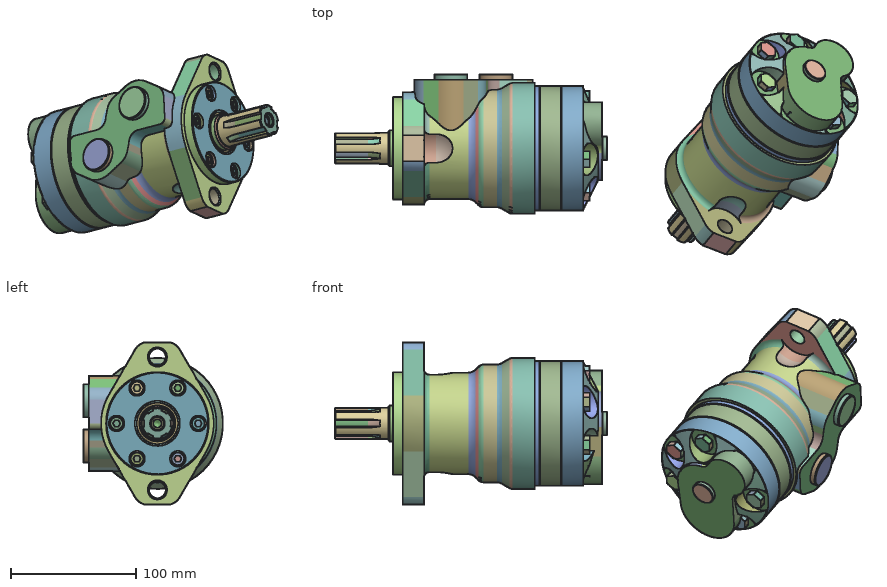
import cadquery as cq
import math


shaft_length = 51.0
pilot_front = 46.2
flange_front = 54.2
flange_back = 71.5
first_step_start = 106.7
second_step_start = 129.5
body_end = 160.0
plate_joint = 164.0
gear_ring_joint = 181.1
cover_face = 198.5
cone_end = 210.5
boss_end = 213.8
overall_length = 217.7

pilot_radius = 41.1
neck_radius = 40.7
shoulder_radius = 47.2
body_radius = 52.5
cover_radius = 100.0 / 2
cone_edge_step = 0.7
pilot_chamfer = 0.7
joint_groove_width = 0.7
joint_groove_depth = 0.5

first_step_shape = (45, 8.3, 5.5)
second_step_shape = (30, 7.8, 4.8)

flange_half_height = 64.9
flange_radius = 45.0
flange_side_angle = 30
flange_side_top = 59.0
flange_tip_half_width = 10.5
flange_corner_radius = 13.0
mount_hole_offset = 53.1
mount_hole_diameter = 13.3
mount_hole_rim_diameter = 15.5
scallop_radius = 18.0
scallop_straight_end = 81.0
neck_fillet = flange_radius - neck_radius

screw_count = 6
screw_circle_radius = 32.7
screw_recess_diameter = 12.6
screw_recess_depth = 2.6
screw_head_diameter = 10.0
screw_head_height = 0.9
screw_socket_corner_diameter = 5.9
screw_socket_depth = 2.2

shaft_radius = 25.3 / 2
shaft_chamfer = 0.7
spline_count = 6
spline_root_radius = 10.7
spline_root_width = 4.8
spline_clearance = 2.2
spline_flank_angle = 30
spline_straight_end = 26.5
spline_cutter_radius = 24.0
runout_angle = 40
centre_hole_diameter = 12.0
centre_hole_rim = 0.9
centre_hole_depth = 3.3
centre_drill_diameter = 6.7
centre_drill_depth = 6.5
drill_tip_angle = 118

seal_radius = 36.1 / 2
seal_rim_inner_radius = 16.5
seal_rim_sink = 0.7
seal_web_sink = 1.7
seal_lip_radius = 29.0 / 2
seal_lip_front = 42.7
seal_lip_chamfer = 1.3

block_centre_x = 110.8
block_base_y = 13.0
block_top_y = 54.9
block_half_length = 47.5
port_offset = 18.0
lobe_radius = 20.0
lobe_slope = 30
lobe_side_reach = 21.8
lobe_wall_reach = 28.3
lobe_wall_top = 19.2
lobe_wall_lean = 1.3
lobe_corner_radius = 13.7
notch_edge = 4.5
notch_fillet = 9.1
port_plug_radius = 26.5 / 2
port_plug_top = 59.5
plug_chamfer = 0.7

cover_bolt_count = 7
cover_bolt_circle_radius = 39.5
bolt_head_across_flats = 13.0
bolt_head_height = 5.2
bolt_pocket_diameter = 26.0
boss_radius = 25.7
upper_lobe = (19.2, 24.5, 17.9)
lower_lobe = (2.0, -23.7, 25.0)
boss_fillet = 7.6
end_plug_radius = 19.0 / 2
end_plug_chamfer = 0.5


def cylinder(x_start, x_end, radius, y=0.0, z=0.0):
    """Round bar along X."""
    return cq.Workplane("YZ", origin=(x_start, y, z)).circle(radius).extrude(x_end - x_start)


def circle_places(count, radius):
    """Evenly spaced (y, z) places around the shaft axis, the first on +Y."""
    angles = [2 * math.pi / count * i for i in range(count)]
    return [(radius * math.cos(a), radius * math.sin(a)) for a in angles]


def add_step(outline, x_start, radius_start, radius_end, angle, hollow_radius, crown_radius):
    """Continue a turned outline up a slope with a tangent hollow below and a tangent crown above."""
    tilt = math.radians(angle)
    half = tilt / 2
    hollow_x = x_start + hollow_radius * math.sin(tilt)
    hollow_r = radius_start + hollow_radius * (1 - math.cos(tilt))
    crown_r = radius_end - crown_radius * (1 - math.cos(tilt))
    crown_x = hollow_x + (crown_r - hollow_r) / math.tan(tilt)
    crown_end_x = crown_x + crown_radius * math.sin(tilt)
    hollow_middle = (
        x_start + hollow_radius * math.sin(half),
        radius_start + hollow_radius * (1 - math.cos(half)),
    )
    crown_middle = (
        crown_end_x - crown_radius * math.sin(half),
        radius_end - crown_radius * (1 - math.cos(half)),
    )
    return (
        outline.lineTo(x_start, radius_start)
        .threePointArc(hollow_middle, (hollow_x, hollow_r))
        .lineTo(crown_x, crown_r)
        .threePointArc(crown_middle, (crown_end_x, radius_end))
    )


def turned_housing():
    """Pilot, neck, shoulder, body and cover as one turned shape."""
    fillet_middle = neck_fillet * (1 - math.sqrt(0.5))
    outline = (
        cq.Workplane("XY")
        .moveTo(pilot_front, 0)
        .lineTo(pilot_front, pilot_radius - pilot_chamfer)
        .lineTo(pilot_front + pilot_chamfer, pilot_radius)
        .lineTo(flange_front, pilot_radius)
        .lineTo(flange_back, neck_radius + neck_fillet)
        .threePointArc(
            (flange_back + fillet_middle, neck_radius + fillet_middle),
            (flange_back + neck_fillet, neck_radius),
        )
    )
    outline = add_step(outline, first_step_start, neck_radius, shoulder_radius, *first_step_shape)
    outline = add_step(outline, second_step_start, shoulder_radius, body_radius, *second_step_shape)
    cone_start_radius = cover_radius - cone_edge_step
    outline = (
        outline.lineTo(body_end, body_radius)
        .lineTo(body_end, cover_radius)
        .lineTo(cover_face, cover_radius)
        .lineTo(cover_face, cone_start_radius)
        .lineTo(cone_end, boss_radius)
        .lineTo(cone_end, 0)
        .close()
    )
    return outline.revolve(360, (0, 0, 0), (1, 0, 0))


def joint_groove(x_middle):
    x_start = x_middle - joint_groove_width / 2
    x_end = x_middle + joint_groove_width / 2
    ring = cylinder(x_start, x_end, body_radius)
    return ring.cut(cylinder(x_start, x_end, cover_radius - joint_groove_depth))


def flange():
    """Two-hole flange: round sides, straight tapering sides and rounded corners."""
    tilt = math.radians(flange_side_angle)
    round_y = flange_radius * math.cos(tilt)
    round_z = flange_radius * math.sin(tilt)
    side_y = (flange_radius - flange_side_top * math.sin(tilt)) / math.cos(tilt)
    outline = cq.Workplane("YZ", origin=(flange_front, 0, 0)).moveTo(-round_y, round_z)
    for side in (1, -1):
        outline = (
            outline.lineTo(-side * side_y, side * flange_side_top)
            .radiusArc((-side * flange_tip_half_width, side * flange_half_height), flange_corner_radius)
            .lineTo(side * flange_tip_half_width, side * flange_half_height)
            .radiusArc((side * side_y, side * flange_side_top), flange_corner_radius)
            .lineTo(side * round_y, side * round_z)
            .radiusArc((side * round_y, -side * round_z), flange_radius)
        )
    return outline.close().extrude(flange_back - flange_front)


def mount_hole(z):
    """Through hole with a chamfered rim on the front."""
    rim = (mount_hole_rim_diameter - mount_hole_diameter) / 2
    chamfer = cq.Solid.makeCone(
        mount_hole_rim_diameter / 2,
        mount_hole_diameter / 2,
        rim,
        cq.Vector(flange_front, 0, z),
        cq.Vector(1, 0, 0),
    )
    hole = cylinder(flange_front, flange_back, mount_hole_diameter / 2, 0, z)
    return hole.union(cq.Workplane(chamfer))


def scallop(z):
    """Round-nosed clearance behind a mounting hole."""
    ball = cq.Workplane("XY", origin=(scallop_straight_end, 0, z)).sphere(scallop_radius)
    ball = ball.intersect(cylinder(flange_back, scallop_straight_end + scallop_radius, scallop_radius, 0, z))
    return ball.union(cylinder(flange_back, scallop_straight_end, scallop_radius, 0, z))


def screw_recess(y, z):
    """Recess that leaves a low screw head with a hexagon socket standing at its bottom."""
    floor = pilot_front + screw_recess_depth
    recess = cylinder(pilot_front, floor, screw_recess_diameter / 2, y, z)
    head = cylinder(floor - screw_head_height, floor, screw_head_diameter / 2, y, z)
    socket = (
        cq.Workplane("YZ", origin=(floor - screw_head_height, y, z))
        .polygon(6, screw_socket_corner_diameter)
        .extrude(screw_socket_depth)
    )
    return recess.cut(head).union(socket)


def add_half_block(outline, side):
    """Add half of the port block's outline, from end wall to end wall; side is 1 for +Z, -1 for -Z."""
    tilt = math.radians(lobe_slope)
    arc_x = lobe_radius * math.sin(tilt)
    arc_z = port_offset + lobe_radius * math.cos(tilt)
    side_z = arc_z - (lobe_side_reach - arc_x) * math.tan(tilt)
    notch_x = lobe_wall_reach + lobe_wall_lean

    def from_port(x, z):
        return (block_centre_x + side * (x - port_offset), side * z)

    def from_centre(x, z):
        return (block_centre_x + side * x, side * z)

    return (
        outline.lineTo(*from_port(-lobe_wall_reach, lobe_wall_top))
        .radiusArc(from_port(-lobe_side_reach, side_z), lobe_corner_radius)
        .lineTo(*from_port(-arc_x, arc_z))
        .radiusArc(from_port(arc_x, arc_z), lobe_radius)
        .lineTo(*from_port(lobe_side_reach, side_z))
        .radiusArc(from_port(lobe_wall_reach, lobe_wall_top), lobe_corner_radius)
        .lineTo(*from_port(notch_x, notch_edge + notch_fillet))
        .radiusArc(from_port(notch_x + notch_fillet, notch_edge), -notch_fillet)
        .lineTo(*from_centre(block_half_length - notch_edge, notch_edge))
        .radiusArc(from_centre(block_half_length, 0), notch_edge)
    )


def port_block():
    outline = cq.Workplane("XZ", origin=(0, block_base_y, 0)).moveTo(block_centre_x - block_half_length, 0)
    outline = add_half_block(outline, 1)
    outline = add_half_block(outline, -1)
    return outline.close().extrude(block_base_y - block_top_y)


def bolt_head(y, z):
    corner_diameter = bolt_head_across_flats / math.cos(math.radians(30))
    return (
        cq.Workplane("YZ", origin=(cover_face, y, z))
        .transformed(rotate=(0, 0, 30))
        .polygon(6, corner_diameter)
        .extrude(bolt_head_height)
    )


def boss_bridge(y, z, radius):
    """Straight-sided bridge, tangent to the round boss and to a lobe."""
    heading = math.atan2(z, y)
    spread = math.acos((boss_radius - radius) / math.hypot(y, z))
    corners = []
    for angle in (heading - spread, heading + spread):
        corners.append((boss_radius * math.cos(angle), boss_radius * math.sin(angle)))
        corners.append((y + radius * math.cos(angle), z + radius * math.sin(angle)))
    first_boss, first_lobe, second_boss, second_lobe = corners
    return (
        cq.Workplane("YZ", origin=(cover_face, 0, 0))
        .polyline([first_boss, first_lobe, second_lobe, second_boss])
        .close()
        .extrude(boss_end - cover_face)
    )


def boss_lobe(y, z, radius):
    return cylinder(cover_face, boss_end, radius, y, z)


def cover_boss():
    """Round boss with a filleted lobe above and a lobe below that runs straight into it."""
    boss = cylinder(cover_face, boss_end, boss_radius).union(boss_lobe(*upper_lobe))
    boss = boss.edges("|X").fillet(boss_fillet)
    return boss.union(boss_bridge(*lower_lobe)).union(boss_lobe(*lower_lobe))


def make_housing():
    housing = turned_housing().union(flange())
    for x in (plate_joint, gear_ring_joint):
        housing = housing.cut(joint_groove(x))
    for z in (-mount_hole_offset, mount_hole_offset):
        housing = housing.cut(mount_hole(z)).cut(scallop(z))
    housing = housing.union(port_block())
    for y, z in circle_places(screw_count, screw_circle_radius):
        housing = housing.cut(screw_recess(y, z))
    housing = housing.cut(cylinder(pilot_front, shaft_length, seal_radius))
    bolt_places = circle_places(cover_bolt_count, cover_bolt_circle_radius)
    for y, z in bolt_places:
        housing = housing.cut(cylinder(cover_face, boss_end, bolt_pocket_diameter / 2, y, z))
    for y, z in bolt_places:
        housing = housing.union(bolt_head(y, z))
    return housing.union(cover_boss())


def spline_groove():
    """Groove at the +Z side of the shaft, with a rounded runout."""
    top = shaft_radius + spline_clearance
    spread = (top - spline_root_radius) * math.tan(math.radians(spline_flank_angle))
    root = spline_root_width / 2
    root_z = math.sqrt(spline_root_radius**2 - root**2)

    def section(x):
        return (
            cq.Workplane("YZ", origin=(x, 0, 0))
            .moveTo(-root, root_z)
            .threePointArc((0, spline_root_radius), (root, root_z))
            .lineTo(root + spread, top)
            .lineTo(-root - spread, top)
            .close()
        )

    cutter_axis = spline_root_radius + spline_cutter_radius
    runout = section(spline_straight_end).revolve(runout_angle, (2.2, cutter_axis, 0), (0, cutter_axis, 0))
    return section(0).extrude(spline_straight_end).union(runout)


def centre_hole():
    """Recess in the shaft end with a chamfered rim and a drilled hole at its bottom."""
    rim_radius = centre_hole_diameter / 2
    drill_radius = centre_drill_diameter / 2
    tip = drill_radius / math.tan(math.radians(drill_tip_angle / 2))
    drill_end = centre_hole_depth + centre_drill_depth
    return (
        cq.Workplane("XY")
        .polyline([
            (0, 0), (0, rim_radius), (centre_hole_rim, rim_radius - centre_hole_rim),
            (centre_hole_depth, rim_radius - centre_hole_rim), (centre_hole_depth, drill_radius),
            (drill_end, drill_radius), (drill_end + tip, 0),
        ])
        .close()
        .revolve(360, (0, 0, 0), (1, 0, 0))
    )


def make_shaft():
    shaft = cylinder(0, shaft_length, shaft_radius).faces("<X").chamfer(shaft_chamfer)
    for i in range(spline_count):
        angle = 90 + 360 / spline_count * i
        shaft = shaft.cut(spline_groove().rotate((0, 0, 0), (1, 0, 0), angle))
    return shaft.cut(centre_hole())


def make_seal():
    lip = cylinder(seal_lip_front, shaft_length, seal_lip_radius).faces("<X").chamfer(seal_lip_chamfer)
    rim = cylinder(pilot_front + seal_rim_sink, shaft_length, seal_radius)
    rim = rim.cut(cylinder(pilot_front, pilot_front + seal_web_sink, seal_rim_inner_radius))
    return rim.union(lip).cut(cylinder(0, shaft_length, shaft_radius))


def make_port_plug(side):
    """Flat plug on a port; side is 1 for the +Z port, -1 for the -Z port."""
    return (
        cq.Workplane("XZ", origin=(block_centre_x - side * port_offset, block_top_y, side * port_offset))
        .circle(port_plug_radius)
        .extrude(block_top_y - port_plug_top)
        .faces(">Y").chamfer(plug_chamfer)
    )


def make_end_plug():
    return cylinder(boss_end, overall_length, end_plug_radius).faces("<X or >X").chamfer(end_plug_chamfer)


housing = make_housing()
shaft = make_shaft()
seal = make_seal()
port_plugs = [make_port_plug(side) for side in (1, -1)]
end_plug = make_end_plug()

result = cq.Compound.makeCompound([
    housing.val(),
    shaft.val(),
    seal.val(),
    *[plug.val() for plug in port_plugs],
    end_plug.val(),
])